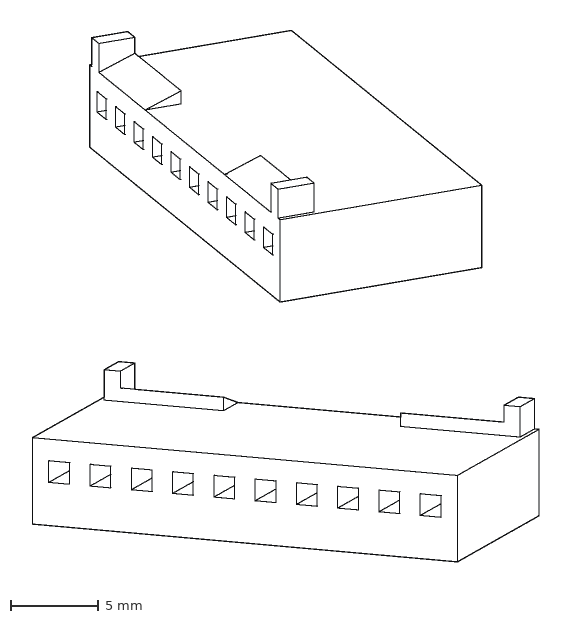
import cadquery as cq

body_length = 26.16
body_depth = 12.7
body_height = 5.08

contact_count = 10
contact_pitch = 2.54
passage_size = 1.27
passage_centre_height = 3.175

total_height = 6.86
lock_depth = 2.27
post_width = 1.0
post_inset = 0.28
ramp_length = 6.35
ramp_height = 0.8


def make_body():
    return cq.Workplane("XY").box(
        body_length, body_depth, body_height, centered=(True, False, False)
    )


def make_passages():
    """Row of square passages, one per contact, open at both Y faces."""
    return (
        cq.Workplane("XZ", origin=(0, body_depth, passage_centre_height))
        .rarray(contact_pitch, 1, contact_count, 1)
        .rect(passage_size, passage_size)
        .extrude(body_depth)
    )


def make_left_lock():
    """Upright post near the -X end and the wedge that rises from Y = 0 towards +Y."""
    post_start = -body_length / 2 + post_inset
    ramp_start = post_start + post_width
    post = (
        cq.Workplane("XY")
        .box(post_width, lock_depth, total_height - body_height, centered=False)
        .translate((post_start, 0, body_height))
    )
    ramp = (
        cq.Workplane("YZ", origin=(ramp_start, 0, body_height))
        .polyline([(0, 0), (lock_depth, 0), (lock_depth, ramp_height)])
        .close()
        .extrude(ramp_length)
    )
    return post.union(ramp)


left_lock = make_left_lock()
right_lock = left_lock.mirror("YZ")
result = make_body().cut(make_passages()).union(left_lock).union(right_lock)